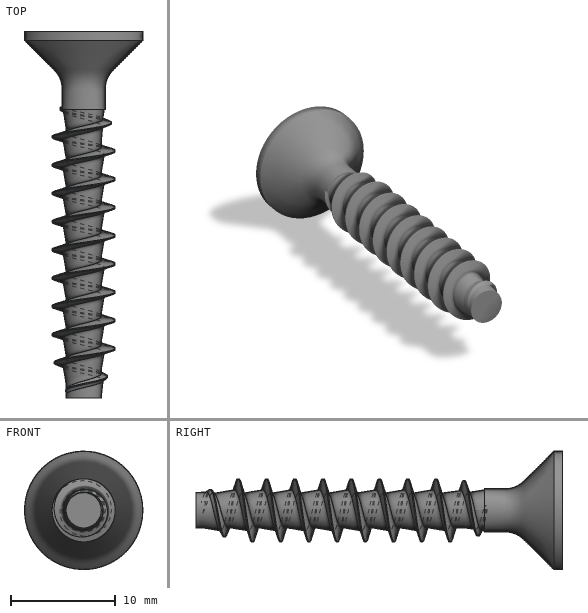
import cadquery as cq
import math

length = 35.0

head_diameter = 11.3
head_radius = head_diameter / 2
rim_thickness = 0.85
shank_radius = 2.05
neck_fillet = 2.45
shank_end = 7.45
shoulder_radius = 1.95
neck_cone_end = 9.28

core_radius = 1.68
pitch = 2.7
crest_radius = 3.0
root_radius = 1.95
crest_half_width = 0.052
thread_half_width = 0.35
thread_foot_half_width = 0.45
foot_radius = 1.47
turn_clearance = 0.05
right_crest_depth = 8.7

thread_start = 7.28
full_crest_start = 10.05
starting_crest_radius = 2.25
full_crest_end = 31.15
full_root_end = 32.2
thread_end = 34.48
sunken_radius = 1.65
segments_per_turn = 2
samples_per_segment = 8


def blend(depth, start, end, first, last):
    """Linear change between two values, held constant outside the range."""
    fraction = min(max((depth - start) / (end - start), 0.0), 1.0)
    return first + fraction * (last - first)


def crest_at(depth):
    if depth < full_crest_start:
        return blend(depth, thread_start, full_crest_start, starting_crest_radius, crest_radius)
    return blend(depth, full_crest_end, thread_end, crest_radius, sunken_radius)


def root_at(depth):
    if depth < full_crest_start:
        return blend(depth, thread_start, full_crest_start, sunken_radius, root_radius)
    return blend(depth, full_root_end, thread_end, root_radius, sunken_radius)


def ramp_end_at(depth):
    return sunken_radius


def foot_at(depth):
    return foot_radius


def make_body():
    """Revolved head, filleted neck, shank and core."""
    cone_angle = math.radians(45)
    diagonal = math.sin(cone_angle)
    cone_end_radius = shank_radius + neck_fillet * (1 - diagonal)
    cone_end = rim_thickness + head_radius - cone_end_radius
    fillet_end = cone_end + neck_fillet * diagonal
    arc_angle = cone_angle / 2
    arc_middle = (
        shank_radius + neck_fillet * (1 - math.cos(arc_angle)),
        -(fillet_end - neck_fillet * math.sin(arc_angle)),
    )
    return (
        cq.Workplane("XY")
        .lineTo(head_radius, 0)
        .lineTo(head_radius, -rim_thickness)
        .lineTo(cone_end_radius, -cone_end)
        .threePointArc(arc_middle, (shank_radius, -fillet_end))
        .lineTo(shank_radius, -shank_end)
        .lineTo(shoulder_radius, -shank_end)
        .lineTo(core_radius, -neck_cone_end)
        .lineTo(core_radius, -length)
        .lineTo(0, -length)
        .close()
        .revolve(360, (0, 0, 0), (0, 1, 0))
    )


def helix_edge(start, end, offset, radius_at):
    """Helical curve between two depths, shifted along the axis from the crest line."""
    points = []
    for i in range(samples_per_segment + 1):
        depth = start + (end - start) * i / samples_per_segment
        angle = 2 * math.pi * (depth - right_crest_depth) / pitch
        radius = radius_at(depth)
        points.append(cq.Vector(radius * math.cos(angle), -(depth + offset), radius * math.sin(angle)))
    return cq.Edge.makeSpline(points)


def segment_edges(start, end):
    """Helical corner curves of the thread section, in order around it."""
    ramp_end = pitch - thread_foot_half_width - turn_clearance
    return [
        helix_edge(start, end, -thread_foot_half_width, foot_at),
        helix_edge(start, end, -crest_half_width, crest_at),
        helix_edge(start, end, crest_half_width, crest_at),
        helix_edge(start, end, thread_half_width, root_at),
        helix_edge(start, end, ramp_end, ramp_end_at),
        helix_edge(start, end, ramp_end, foot_at),
    ]


def end_cap(edges, position):
    corners = [edge.positionAt(position) for edge in edges]
    return cq.Face.makeFromWires(cq.Wire.makePolygon(corners, close=True))


def make_thread():
    """Thread ridge and the tapering root behind it, bounded by ruled helical faces."""
    count = math.ceil((thread_end - thread_start) / pitch * segments_per_turn)
    step = (thread_end - thread_start) / count
    segments = []
    for i in range(count):
        segments.append(segment_edges(thread_start + i * step, thread_start + (i + 1) * step))
    faces = [end_cap(segments[0], 0), end_cap(segments[-1], 1)]
    for edges in segments:
        for edge, following in zip(edges, edges[1:] + edges[:1]):
            faces.append(cq.Face.makeRuledSurface(edge, following))
    return cq.Workplane(obj=cq.Solid.makeSolid(cq.Shell.makeShell(faces)).fix())


result = make_body().union(make_thread())

beyond_tip = cq.Workplane("XZ", origin=(0, -length, 0)).circle(crest_radius).extrude(pitch)
result = result.cut(beyond_tip)